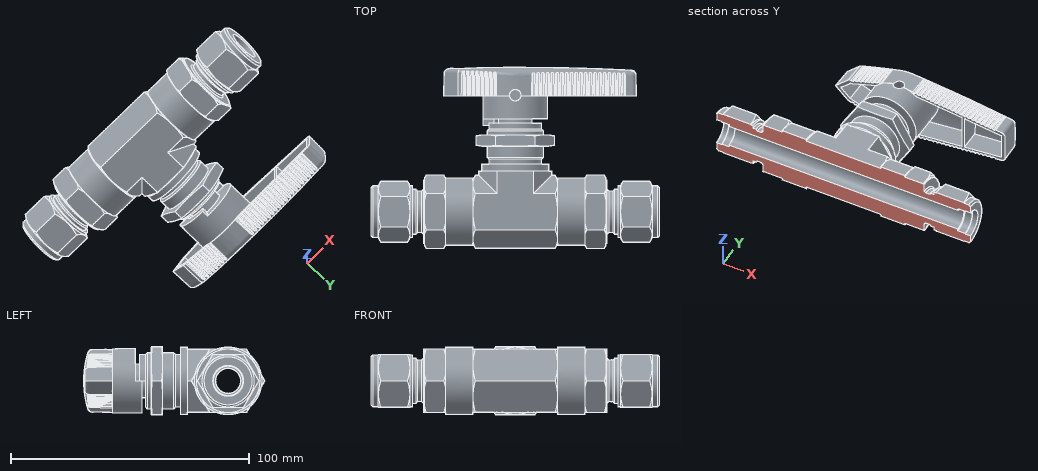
import cadquery as cq
import math


body_flats = 26.5
body_half_length = 17.7
barrel_radius = 14.15
end_hex_flats = 26.7
end_hex_start = 29.2
end_hex_end = 38.0
washer_face_radius = 13.3
washer_face_end = 38.5
neck_radius = 8.75
neck_root_radius = 9.4
neck_start = 39.2
neck_end = 41.0
shoulder_radius = 9.5
shoulder_start = 41.6
shoulder_end = 43.0
collar_radius = 10.9
nut_flats = 22.225
nut_start = 44.0
nut_end = 57.4
end_chamfer = 0.85
half_length = 60.475
nut_chamfer = (0.98, 30)
body_chamfer = (1.0, 25)
end_hex_chamfer = (1.06, 30)
panel_nut_chamfer = (0.98, 10)

bore_radius = 5.2
tube_radius = 6.15
tube_socket_depth = 6.0
tube_mouth_radius = 6.45
tube_mouth_depth = 2.5

branch_top = 17.05
branch_collar_radius = 14.1
branch_collar_top = 19.95
relief_radius = 11.05
relief_top = 22.0
thread_radius = 11.85
thread_chamfer = thread_radius - relief_radius
thread_top = 34.6
panel_nut_flats = 28.58
panel_nut_bottom = 27.4
panel_nut_top = 32.2
stop_top = 37.15
stem_radius = 7.1

hub_radius = 13.55
hub_bottom = 38.85
skirt_bottom = 36.05
skirt_inner_radius = 8.9
lever_bottom = 48.45
overall_height = 75.98
lever_peak = overall_height - end_hex_flats / math.sqrt(3)
lever_hub_radius = 13.3
tip_x = -30.05
shoulder_x = -24.0
shoulder_half_width = 5.8
tail_x = 50.75
tail_half_width = 7.7
tail_corner_radius = 2.0
lever_draft = 1.0
crown_radius = 40.0
crown_peak_x = 2.0
crown_long_radius = 900.0
crown_edge_radius = 2.0
wall = 1.8
web_x = 30.75
web_thickness = 1.25
screw_hole_radius = 2.4
screw_hole_y = 48.8
screw_hole_depth = 6.0
groove_pitch = 2.0
groove_width = 1.7
groove_floor_width = 0.6
groove_depth = 0.45
tail_groove_count = 20
tail_groove_first_x = 7.65
tip_groove_count = 8
tip_groove_last_x = -8.6


def turned_x(points):
    """Solid turned about X from (x, radius) points; the axis closes it."""
    outline = [(points[0][0], 0)] + points + [(points[-1][0], 0)]
    return cq.Workplane("XY").polyline(outline).close().revolve(360, (0, 0, 0), (1, 0, 0))


def turned_y(points):
    """Solid turned about Y from (radius, y) points; the axis closes it."""
    outline = [(0, points[0][1])] + points + [(0, points[-1][1])]
    return cq.Workplane("XY").polyline(outline).close().revolve(360, (0, 0, 0), (0, 1, 0))


def hexagon_x(flats, start, end, chamfer):
    """Hexagonal bar along X with corners toward +Y and -Y, both ends chamfered.

    The chamfer is (end circle as a share of the flats, angle to the end face in degrees).
    """
    end_circle_share, angle = chamfer
    corner = flats / math.sqrt(3)
    end_radius = flats / 2 * end_circle_share
    run = (corner - end_radius) * math.tan(math.radians(angle))
    bar = cq.Workplane("YZ", origin=(start, 0, 0)).polygon(6, 2 * corner).extrude(end - start)
    envelope = [(start, end_radius), (start + run, corner), (end - run, corner), (end, end_radius)]
    return bar.intersect(turned_x(envelope))


def along_y(solid):
    """Turns a solid built along +X to lie along +Y."""
    return solid.rotate((0, 0, 0), (0, 0, 1), 90)


def branch_hexagon():
    """Plain hexagonal branch from the flow line up to the stem, corners toward +X and -X."""
    corner = body_flats / math.sqrt(3)
    return cq.Workplane("XZ").polygon(6, 2 * corner).extrude(-branch_top)


def tube_fitting():
    """Union hex, neck and tube nut on the +X end."""
    turned = turned_x([
        (body_half_length, barrel_radius),
        (end_hex_start, barrel_radius),
        (end_hex_start, washer_face_radius),
        (washer_face_end, washer_face_radius),
        (washer_face_end, neck_root_radius),
        (neck_start, neck_radius),
        (neck_end, neck_radius),
        (shoulder_start, shoulder_radius),
        (shoulder_end, shoulder_radius),
        (shoulder_end, collar_radius),
        (half_length - end_chamfer, collar_radius),
        (half_length, collar_radius - end_chamfer),
    ])
    return (
        turned.union(hexagon_x(end_hex_flats, end_hex_start, end_hex_end, end_hex_chamfer))
        .union(hexagon_x(nut_flats, nut_start, nut_end, nut_chamfer))
    )


def tube_socket():
    return turned_x([
        (0, bore_radius),
        (half_length - tube_socket_depth, bore_radius),
        (half_length - tube_socket_depth, tube_radius),
        (half_length - tube_mouth_depth, tube_radius),
        (half_length - tube_mouth_depth, tube_mouth_radius),
        (half_length, tube_mouth_radius),
    ])


def stem_branch():
    """Threaded stem housing, half-round stop and stem."""
    turned = turned_y([
        (branch_collar_radius, branch_top),
        (branch_collar_radius, branch_collar_top),
        (relief_radius, branch_collar_top),
        (relief_radius, relief_top),
        (thread_radius, relief_top + thread_chamfer),
        (thread_radius, thread_top - thread_chamfer),
        (relief_radius, thread_top),
        (stem_radius, thread_top),
        (stem_radius, hub_bottom),
    ])
    stop = (
        cq.Workplane("XZ", origin=(0, thread_top, 0))
        .moveTo(-relief_radius, 0)
        .threePointArc((0, relief_radius), (relief_radius, 0))
        .close()
        .extrude(thread_top - stop_top)
    )
    panel_nut = hexagon_x(panel_nut_flats, panel_nut_bottom, panel_nut_top, panel_nut_chamfer)
    return turned.union(stop).union(along_y(panel_nut))


def valve_body():
    body = hexagon_x(body_flats, -body_half_length, body_half_length, body_chamfer)
    body = body.union(branch_hexagon()).union(stem_branch())
    for turn in (0, 180):
        body = body.union(tube_fitting().rotate((0, 0, 0), (0, 1, 0), turn))
    for turn in (0, 180):
        body = body.cut(tube_socket().rotate((0, 0, 0), (0, 1, 0), turn))
    return body


def tangent_point(corner_x, corner_z):
    """Point where the line from a corner touches the lever's round middle, on the +Z side."""
    sweep = math.acos(lever_hub_radius / math.hypot(corner_x, corner_z))
    corner_angle = math.atan2(corner_z, corner_x)
    angle = corner_angle + math.copysign(sweep, corner_x)
    return lever_hub_radius * math.cos(angle), lever_hub_radius * math.sin(angle)


tail_tangent = tangent_point(tail_x, tail_half_width)
tip_tangent = tangent_point(shoulder_x, shoulder_half_width)


def lever_plan():
    """Plan of the lever in X and Z: pointed tip, round middle and blunt tail."""
    tip_tx, tip_tz = tip_tangent
    tail_tx, tail_tz = tail_tangent
    return (
        cq.Workplane("ZX", origin=(0, lever_bottom, 0))
        .moveTo(0, tip_x)
        .lineTo(shoulder_half_width, shoulder_x)
        .lineTo(tip_tz, tip_tx)
        .threePointArc((lever_hub_radius, 0), (tail_tz, tail_tx))
        .lineTo(tail_half_width, tail_x)
        .lineTo(-tail_half_width, tail_x)
        .lineTo(-tail_tz, tail_tx)
        .threePointArc((-lever_hub_radius, 0), (-tip_tz, tip_tx))
        .lineTo(-shoulder_half_width, shoulder_x)
        .close()
    )


def crown(inset):
    """Barrel whose upper side is the crowned top of the lever, lowered by the inset."""
    axis_y = lever_peak - crown_radius
    peak = lever_peak - inset
    reach = tail_x
    drop = crown_long_radius - math.sqrt(crown_long_radius**2 - reach**2)
    return (
        cq.Workplane("XY")
        .moveTo(crown_peak_x - reach, axis_y)
        .lineTo(crown_peak_x - reach, peak - drop)
        .threePointArc((crown_peak_x, peak), (crown_peak_x + reach, peak - drop))
        .lineTo(crown_peak_x + reach, axis_y)
        .close()
        .revolve(360, (0, axis_y, 0), (1, axis_y, 0))
    )


def lever_prism(plan):
    return plan.extrude(lever_peak - lever_bottom, taper=lever_draft)


def lever_blank():
    """Outer form of the lever, before it is hollowed and grooved."""
    prism = lever_prism(lever_plan())
    prism = prism.faces(">X").edges("not |Z").fillet(tail_corner_radius)
    blank = prism.intersect(crown(0))
    crown_top = cq.selectors.NearestToPointSelector((crown_peak_x, lever_peak, 0))
    return blank.faces(crown_top).edges().fillet(crown_edge_radius)


def hub(top):
    return cq.Workplane("XZ", origin=(0, hub_bottom, 0)).circle(hub_radius).extrude(hub_bottom - top)


def lever_cavity():
    """Hollow of the lever, open below and crossed by the hub and one web."""
    hollow = lever_prism(lever_plan().offset2D(-wall, "intersection")).intersect(crown(wall))
    web = cq.Workplane("XY").box(web_thickness, 2 * lever_peak, 2 * lever_hub_radius)
    return hollow.cut(web.translate((web_x, 0, 0))).cut(hub(lever_peak))


def groove_row(count, first_x, x_direction, tangent, corner):
    """Finger grooves along Y in the straight wall from a tangent point to a corner.

    Vectors here are (z, x), the two axes of the plan.
    """
    slope = (corner[1] - tangent[1]) / (corner[0] - tangent[0])
    length = math.hypot(1, slope)
    along = cq.Vector(slope, 1) / length
    outward = cq.Vector(1, -slope) / length
    top = along * (groove_width / 2)
    floor = along * (groove_floor_width / 2)
    overshoot = outward * groove_depth
    grooves = cq.Workplane("ZX", origin=(0, lever_bottom, 0))
    for index in range(count):
        x = first_x + x_direction * index * groove_pitch / length
        centre = cq.Vector(tangent[1] + slope * (x - tangent[0]), x)
        bottom = centre - outward * groove_depth
        outline = [
            bottom - floor,
            centre - top,
            centre - top + overshoot,
            centre + top + overshoot,
            centre + top,
            bottom + floor,
        ]
        grooves = grooves.polyline([(point.x, point.y) for point in outline]).close()
    return grooves.extrude(lever_peak - lever_bottom)


def finger_grooves():
    """Grooves of the tail and the tip on the +Z side."""
    tail_corner = (tail_x, tail_half_width)
    tip_corner = (shoulder_x, shoulder_half_width)
    tail_row = groove_row(tail_groove_count, tail_groove_first_x, 1, tail_tangent, tail_corner)
    tip_row = groove_row(tip_groove_count, tip_groove_last_x, -1, tip_tangent, tip_corner)
    return tail_row.union(tip_row)


def stop_skirt():
    """Quarter ring below the hub on the -X, -Z side that meets the half-round stop."""
    quarter = cq.Workplane("XY").box(hub_radius, hub_bottom, hub_radius, centered=False)
    quarter = quarter.translate((-hub_radius, 0, -hub_radius))
    ring = (
        cq.Workplane("XZ", origin=(0, skirt_bottom, 0))
        .circle(hub_radius)
        .circle(skirt_inner_radius)
        .extrude(skirt_bottom - hub_bottom)
    )
    return ring.intersect(quarter)


def screw_hole():
    return (
        cq.Workplane("XY", origin=(0, screw_hole_y, hub_radius - screw_hole_depth))
        .circle(screw_hole_radius)
        .extrude(2 * screw_hole_depth)
    )


def handle():
    lever = lever_blank().cut(lever_cavity())
    grooves = finger_grooves()
    lever = lever.cut(grooves).cut(grooves.mirror("XY"))
    return lever.union(hub(lever_bottom)).union(stop_skirt()).cut(screw_hole())


result = cq.Compound.makeCompound([valve_body().val(), handle().val()])